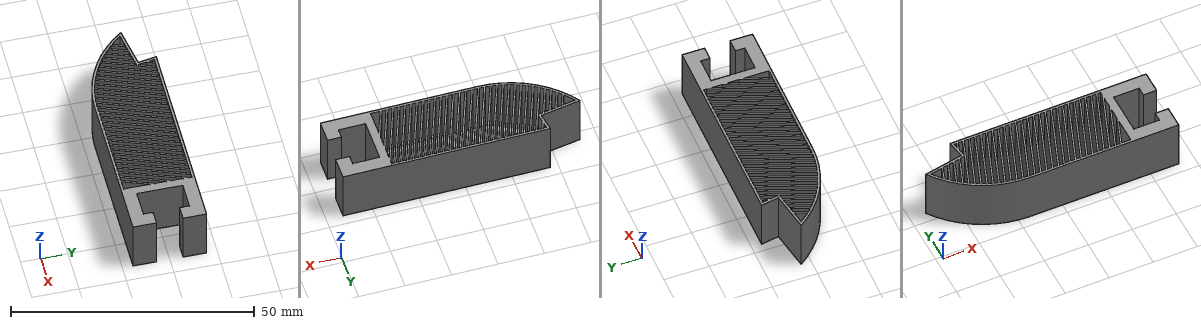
import cadquery as cq
import math

length = 52.8
width = 15.6
height = 12.0

tip_y = 10.05
belly_length = 19.0
notch_floor_length = 9.0
notch_tilt = math.radians(10)

wall = 0.6
cavity_end_x = 42.15
rib_thickness = 0.395
rib_tilt = 20.0
first_rib_x = 0.4
rib_runs = [(15.85, 12), (9.45, 7), (14.2, 11)]

slot_depth = 8.8
slot_width = 9.7
lip_length = 3.0
lip_gap = 5.6


def outline(inset=0):
    """Closed profile of the block, with every side but the blunt end moved inwards by the inset."""
    cos_tilt = math.cos(notch_tilt)
    sin_tilt = math.sin(notch_tilt)
    outer_radius = (belly_length**2 + tip_y**2) / (2 * tip_y)
    radius = outer_radius - inset

    floor_x = inset * sin_tilt
    floor_y = tip_y - inset * cos_tilt
    to_center_x = belly_length - floor_x
    to_center_y = outer_radius - floor_y
    along = to_center_x * cos_tilt + to_center_y * sin_tilt
    across = to_center_y * cos_tilt - to_center_x * sin_tilt
    to_tip = along - math.sqrt(radius**2 - across**2)
    tip = (floor_x + to_tip * cos_tilt, floor_y + to_tip * sin_tilt)

    half_sweep = math.asin((belly_length - tip[0]) / radius) / 2
    belly_middle = (
        belly_length - radius * math.sin(half_sweep),
        outer_radius - radius * math.cos(half_sweep),
    )

    floor_end = notch_floor_length + inset
    corner = (floor_x + floor_end * cos_tilt, floor_y + floor_end * sin_tilt)
    upper_y = width - inset
    top_corner_x = corner[0] - (upper_y - corner[1]) * math.tan(notch_tilt)

    return (
        cq.Workplane("XY")
        .moveTo(*tip)
        .threePointArc(belly_middle, (belly_length, inset))
        .lineTo(length, inset)
        .lineTo(length, upper_y)
        .lineTo(top_corner_x, upper_y)
        .lineTo(*corner)
        .close()
    )


def cavity():
    inside = outline(wall).extrude(height)
    hollow_zone = cq.Workplane("XY").box(cavity_end_x, width, height, centered=False)
    return inside.intersect(hollow_zone)


def rib_positions():
    """X of each rib's centre line where it meets the cavity's lower side."""
    positions = [first_rib_x]
    for run_length, gap_count in rib_runs:
        run_start = positions[-1]
        for gap in range(1, gap_count + 1):
            positions.append(run_start + run_length * gap / gap_count)
    return positions


def rib(x):
    """Slanted plate, long enough to cross the whole cavity."""
    rib_length = 2 * width / math.cos(math.radians(rib_tilt))
    return (
        cq.Workplane("XY")
        .box(rib_thickness, rib_length, height, centered=(True, True, False))
        .rotate((0, 0, 0), (0, 0, 1), -rib_tilt)
        .translate((x, wall, 0))
    )


def end_slot():
    pocket_length = slot_depth - lip_length
    pocket = (
        cq.Workplane("XY")
        .box(pocket_length, slot_width, height, centered=(False, True, False))
        .translate((length - slot_depth, width / 2, 0))
    )
    mouth = (
        cq.Workplane("XY")
        .box(lip_length, lip_gap, height, centered=(False, True, False))
        .translate((length - lip_length, width / 2, 0))
    )
    return pocket.union(mouth)


rib_gaps = cavity()
for rib_x in rib_positions():
    rib_gaps = rib_gaps.cut(rib(rib_x))

result = outline().extrude(height).cut(rib_gaps).cut(end_slot())